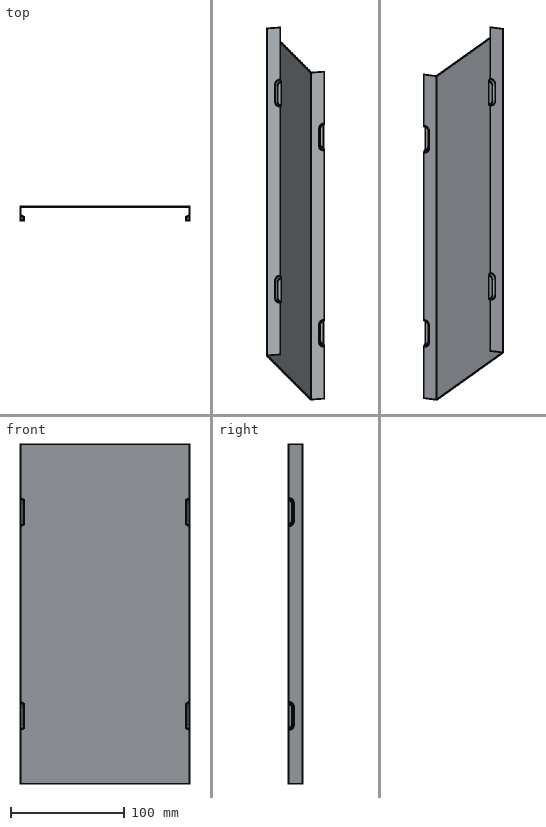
import cadquery as cq
import math

width = 150.0
depth = 12.5
height = 300.0
sheet = 0.5

recess_depth = 3.0
wall_angle = 30.0
floor_length = 21.0
floor_reach = 3.0
recess_end_distance = 60.0
recess_heights = (recess_end_distance, height - recess_end_distance)

wall_run = recess_depth * math.tan(math.radians(wall_angle))
mouth_length = floor_length + 2 * wall_run
mouth_reach = floor_reach + wall_run

wall_thickness = sheet / math.cos(math.radians(wall_angle))


def make_channel():
    """Back plate at +Y with two side flanges reaching to the free edges at Y = 0."""
    body = cq.Workplane("XY").box(width, depth, height, centered=(True, False, False))
    hollow = cq.Workplane("XY").box(
        width - 2 * sheet, depth - sheet, height, centered=(True, False, False)
    )
    return body.cut(hollow)


def tapered_slot(center_z, growth, slot_depth):
    """Round-ended block on the left flange, narrowing inward, centered on the free edge."""
    return (
        cq.Workplane("YZ", origin=(-width / 2, 0, center_z))
        .slot2D(mouth_length + 2 * growth, 2 * (mouth_reach + growth), angle=90)
        .extrude(slot_depth, taper=wall_angle)
    )


def add_recess_pair(body, center_z):
    """Form facing recesses in both flanges, with walls one sheet thick and open at Y = 0."""
    panel_envelope = cq.Workplane("XY").box(width, depth, height, centered=(True, False, False))
    shell = tapered_slot(center_z, wall_thickness, recess_depth + sheet).intersect(panel_envelope)
    hollow = tapered_slot(center_z, 0, recess_depth)
    body = body.union(shell).union(shell.mirror("YZ"))
    return body.cut(hollow).cut(hollow.mirror("YZ"))


result = make_channel()
for recess_height in recess_heights:
    result = add_recess_pair(result, recess_height)